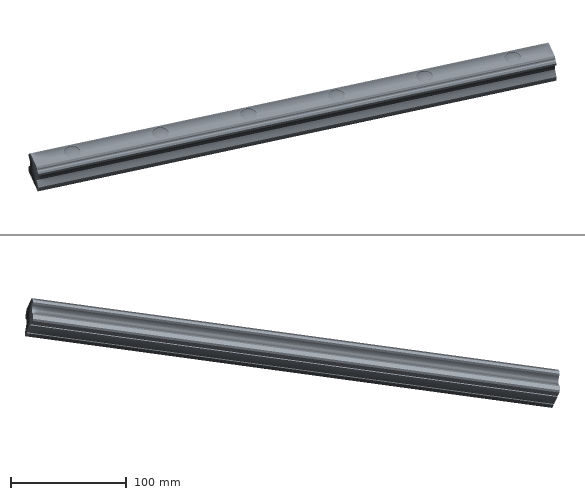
import cadquery as cq

length = 470.0
width = 28.0
height = 26.0

half_width = width / 2
top_chamfer = 1.5
top_half_width = 9.0
head_half_width = 13.5
head_upper_height = 21.0
head_lower_height = 19.0
race_edge_chamfer = 1.5
race_sag = 0.5

neck_half_width = 9.5
neck_top_height = 14.0
neck_bottom_height = 10.5
foot_top_half_width = 10.0
foot_side_height = 5.5
base_chamfer = 1.5

groove_offset = 6.5
groove_width = 2.0
groove_depth = 1.0

hole_count = 6
hole_pitch = 80.0
cap_diameter = 14.0
cap_recess = 0.5


def rail_half():
    """Right half of the rail section, with concave ball races, extruded along Y."""
    race_edge_half_width = head_half_width - race_edge_chamfer
    return (
        cq.Workplane("XZ")
        .lineTo(half_width - base_chamfer, 0)
        .lineTo(half_width, base_chamfer)
        .lineTo(half_width, foot_side_height)
        .lineTo(foot_top_half_width, neck_bottom_height)
        .lineTo(neck_half_width, neck_bottom_height)
        .lineTo(neck_half_width, neck_top_height)
        .sagittaArc((race_edge_half_width, head_lower_height - race_edge_chamfer), race_sag)
        .lineTo(head_half_width, head_lower_height)
        .lineTo(head_half_width, head_upper_height)
        .lineTo(race_edge_half_width, head_upper_height + race_edge_chamfer)
        .sagittaArc((top_half_width + top_chamfer, height - top_chamfer), race_sag)
        .lineTo(top_half_width, height)
        .lineTo(0, height)
        .close()
        .extrude(length / 2, both=True)
    )


def underside_grooves():
    """Two rectangular grooves running the full length of the base."""
    return (
        cq.Workplane("XY")
        .pushPoints([(-groove_offset, 0), (groove_offset, 0)])
        .rect(groove_width, length)
        .extrude(groove_depth)
    )


def cap_recesses():
    """Shallow round recesses at the mounting holes, centred along the rail."""
    return (
        cq.Workplane("XY", origin=(0, 0, height))
        .rarray(4.5, hole_pitch, 1, hole_count)
        .circle(cap_diameter / 2)
        .extrude(-cap_recess)
    )


half_rail = rail_half()
rail = half_rail.union(half_rail.mirror("YZ"))
result = rail.cut(underside_grooves()).cut(cap_recesses())